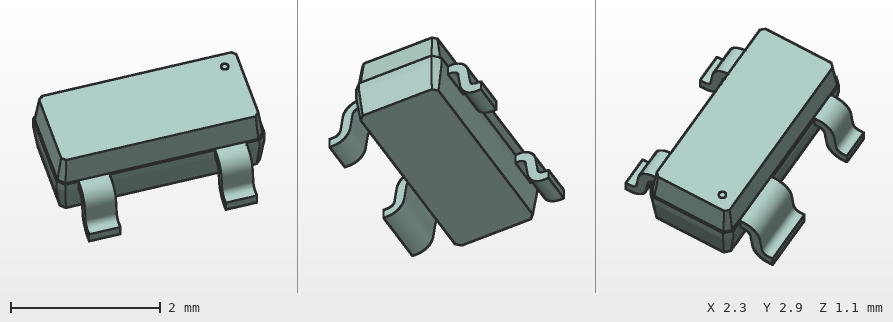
import cadquery as cq
import math

body_length = 2.9
body_width = 1.293
lead_span = 2.3
total_height = 1.1

standoff = 0.1
band_height = 0.15
corner_chamfer = 0.1
upper_ledge = 0.02
draft_angle = 7.5
half_height = (total_height - standoff - band_height) / 2
band_bottom = standoff + half_height
band_top = band_bottom + band_height

lead_thickness = band_height
inner_bend_radius = 0.1
outer_bend_radius = inner_bend_radius + lead_thickness
shank_lean = 8.0
foot_flat = 0.07
lead_embed = 0.145
narrow_lead = 0.435
wide_lead = 0.818
lead_row_edge = 1.17

mark_radius = 0.05
mark_depth = 0.01
mark_x = -0.362
mark_y = 1.165


def chamfered_block(inset, height, taper=0):
    """Extrude the body outline, moved inward by inset, from Z = 0."""
    corner = corner_chamfer - inset * (2 - math.sqrt(2))
    half_x = body_width / 2 - inset
    half_y = body_length / 2 - inset
    outline = [
        (half_x - corner, half_y), (half_x, half_y - corner),
        (half_x, corner - half_y), (half_x - corner, -half_y),
        (corner - half_x, -half_y), (-half_x, corner - half_y),
        (-half_x, half_y - corner), (corner - half_x, half_y),
    ]
    return cq.Workplane("XY").polyline(outline).close().extrude(height, taper=taper)


def make_body():
    lower = chamfered_block(0, half_height, draft_angle).mirror("XY").translate((0, 0, band_bottom))
    band = chamfered_block(0, band_height).translate((0, 0, band_bottom))
    upper = chamfered_block(upper_ledge, half_height, draft_angle).translate((0, 0, band_top))
    return lower.union(band).union(upper)


def on_circle(center, radius, degrees):
    angle = math.radians(degrees)
    return (center[0] + radius * math.cos(angle), center[1] + radius * math.sin(angle))


def make_left_lead(outer_y, width):
    """S-shaped lead on the -X side, extending from outer_y toward -Y."""
    bend_turn = 90 - shank_lean
    lean = math.radians(shank_lean)
    tip_x = -lead_span / 2
    inside_x = -body_width / 2 + lead_embed

    foot_center = (tip_x + foot_flat, outer_bend_radius)
    shoulder_z = band_top - outer_bend_radius
    bend_radii = inner_bend_radius + outer_bend_radius
    shank_rise = band_top - lead_thickness - bend_radii * (1 - math.sin(lean))
    bend_spacing = bend_radii * math.cos(lean) + shank_rise * math.tan(lean)
    shoulder_center = (foot_center[0] + bend_spacing, shoulder_z)

    foot_end = -90 + bend_turn
    foot_middle = -90 + bend_turn / 2
    shoulder_start = 90 + bend_turn
    shoulder_middle = 90 + bend_turn / 2

    profile = (
        cq.Workplane("XZ", origin=(0, outer_y, 0))
        .moveTo(tip_x, 0)
        .lineTo(foot_center[0], 0)
        .threePointArc(
            on_circle(foot_center, outer_bend_radius, foot_middle),
            on_circle(foot_center, outer_bend_radius, foot_end),
        )
        .lineTo(*on_circle(shoulder_center, inner_bend_radius, shoulder_start))
        .threePointArc(
            on_circle(shoulder_center, inner_bend_radius, shoulder_middle),
            on_circle(shoulder_center, inner_bend_radius, 90),
        )
        .lineTo(inside_x, band_bottom)
        .lineTo(inside_x, band_top)
        .lineTo(shoulder_center[0], band_top)
        .threePointArc(
            on_circle(shoulder_center, outer_bend_radius, shoulder_middle),
            on_circle(shoulder_center, outer_bend_radius, shoulder_start),
        )
        .lineTo(*on_circle(foot_center, inner_bend_radius, foot_end))
        .threePointArc(
            on_circle(foot_center, inner_bend_radius, foot_middle),
            on_circle(foot_center, inner_bend_radius, -90),
        )
        .lineTo(tip_x, lead_thickness)
        .close()
    )
    return profile.extrude(width)


def make_pin_mark():
    return (
        cq.Workplane("XY", origin=(mark_x, mark_y, total_height - mark_depth))
        .circle(mark_radius)
        .extrude(mark_depth)
    )


back_left = make_left_lead(lead_row_edge, wide_lead)
front_left = make_left_lead(narrow_lead - lead_row_edge, narrow_lead)
back_right = make_left_lead(lead_row_edge, narrow_lead).mirror("YZ")
front_right = front_left.mirror("YZ")

result = make_body()
for lead in (back_left, front_left, back_right, front_right):
    result = result.union(lead)
result = result.cut(make_pin_mark())